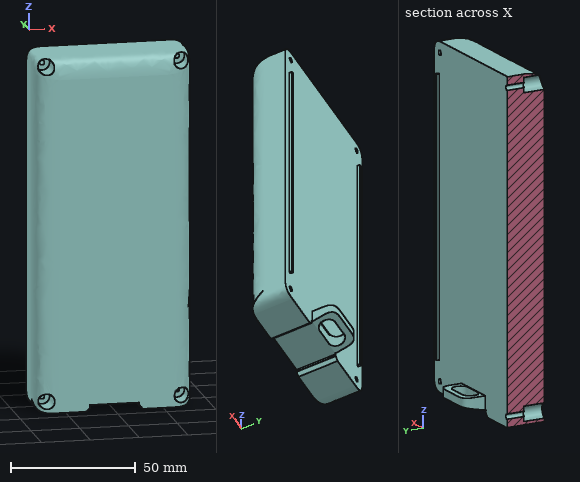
import cadquery as cq

case_width = 64.87
case_height = 147.42
total_depth = 27.95
case_depth = 17.95
half_width = case_width / 2

fullness = 0.75

rim_size = 10.0
rim_sections = 9
wall_corner_size = 6.0
apex_corner_size = 0.05

corner_start_reach = 8.2
corner_end_reach = 8.8

screw_inset = 4.8
screw_hole_diameter = 2.0
counterbore_diameter = 6.2
counterbore_depth = 10.0

notch_width = 20.2
notch_height = 2.7
notch_chamfer = 1.5

loop_width = 19.5
loop_corner_size = 5.0
loop_top = 8.8
loop_tip_bottom = 5.0
loop_root_bottom = notch_height
loop_hole_width = 14.4
loop_hole_height = 7.0
loop_hole_margin = 2.75

rib_width = 1.0
rib_height = 1.2
rib_length = 120.0
rib_inset = 4.0


def bezier(t, start, start_handle, end_handle, end):
    """Value at t of a cubic Bezier curve in one coordinate."""
    s = 1 - t
    return s**3 * start + 3 * s**2 * t * start_handle + 3 * s * t**2 * end_handle + t**3 * end


def round_corner(outline, start, corner, end):
    """Continue the outline from start to end as a smooth curve that rounds the corner."""
    handles = [
        tuple(p + fullness * (c - p) for p, c in zip(point, corner))
        for point in (start, end)
    ]
    return outline.bezier([*handles, end], includeCurrent=True)


def arch_outline(base, side, bottom, top, reach):
    """Outline with square bottom corners and top corners rounded over a given reach."""
    right_start = (side, top - reach)
    right_end = (side - reach, top)
    left_start = (reach - side, top)
    left_end = (-side, top - reach)
    outline = base.moveTo(-side, bottom).lineTo(side, bottom).lineTo(*right_start)
    outline = round_corner(outline, right_start, (side, top), right_end).lineTo(*left_start)
    return round_corner(outline, left_start, (-side, top), left_end).close()


def case_outline(y, inset, reach):
    """Case outline at depth y, set in from the side and top walls."""
    base = cq.Workplane("XZ", origin=(0, y, 0))
    return arch_outline(base, half_width - inset, 0, case_height - inset, reach)


def rim_outline(t):
    """Outline on the rim, from the walls (t = 0) to the front face (t = 1)."""
    handle = rim_size * fullness
    y = rim_size - bezier(t, 0, handle, rim_size, rim_size)
    inset = bezier(t, 0, 0, rim_size - handle, rim_size)
    apex_reach = rim_size + apex_corner_size
    reach = bezier(t, wall_corner_size, corner_start_reach, corner_end_reach, apex_reach)
    return case_outline(y, inset, reach - inset).val()


def bottom_corner_waste(side):
    """Material outside the rounded bottom corner on one side (-1 or 1)."""
    corner = (side * half_width, 0)
    start = (side * (half_width - wall_corner_size), 0)
    end = (side * half_width, wall_corner_size)
    outline = cq.Workplane("XZ").moveTo(*start)
    return round_corner(outline, start, corner, end).lineTo(*corner).close().extrude(-case_depth)


def make_case():
    """Straight walls and the rounded rim, with the bottom corners rounded off."""
    walls = case_outline(case_depth, 0, wall_corner_size).extrude(case_depth - rim_size)
    outlines = [rim_outline(i / (rim_sections - 1)) for i in range(rim_sections)]
    rim = cq.occ_impl.shapes.loft(*outlines, cap=True, parametrization="uniform")
    case = walls.union(cq.Workplane(rim))
    for side in (-1, 1):
        case = case.cut(bottom_corner_waste(side))
    return case


def make_screw_holes():
    """Through holes with front counterbores near the four corners."""
    spots = [
        (side * (half_width - screw_inset), z)
        for side in (-1, 1)
        for z in (screw_inset, case_height - screw_inset)
    ]
    front = cq.Workplane("XZ").pushPoints(spots)
    holes = front.circle(screw_hole_diameter / 2).extrude(-case_depth)
    counterbores = front.circle(counterbore_diameter / 2).extrude(-counterbore_depth)
    return holes.union(counterbores)


def make_notch():
    """Slot across the bottom edge that flares out at its mouth."""
    half = notch_width / 2
    mouth = half + notch_chamfer
    outline = [
        (-mouth, 0),
        (mouth, 0),
        (half, notch_chamfer),
        (half, notch_height),
        (-half, notch_height),
        (-half, notch_chamfer),
    ]
    return cq.Workplane("XZ").polyline(outline).close().extrude(-case_depth)


def make_loop():
    """Hanging loop with a sloping underside and a slotted eye."""
    side_profile = [
        (case_depth, loop_root_bottom),
        (total_depth, loop_tip_bottom),
        (total_depth, loop_top),
        (case_depth, loop_top),
    ]
    wedge = cq.Workplane("YZ").polyline(side_profile).close().extrude(loop_width / 2, both=True)
    outline = arch_outline(
        cq.Workplane("XY"), loop_width / 2, case_depth, total_depth, loop_corner_size
    )
    loop = outline.extrude(loop_top).intersect(wedge)
    eye_y = total_depth - loop_hole_margin - loop_hole_height / 2
    eye = (
        cq.Workplane("XY", origin=(0, eye_y, 0))
        .slot2D(loop_hole_width, loop_hole_height)
        .extrude(loop_top)
    )
    return loop.cut(eye)


def make_ribs():
    """Two upright ribs along the sides of the back face."""
    rib_x = half_width - rib_inset
    return (
        cq.Workplane("XZ", origin=(0, case_depth, case_height / 2))
        .pushPoints([(-rib_x, 0), (rib_x, 0)])
        .rect(rib_width, rib_length)
        .extrude(-rib_height)
    )


case = make_case().cut(make_screw_holes()).cut(make_notch())
result = case.union(make_loop()).union(make_ribs()).solids()